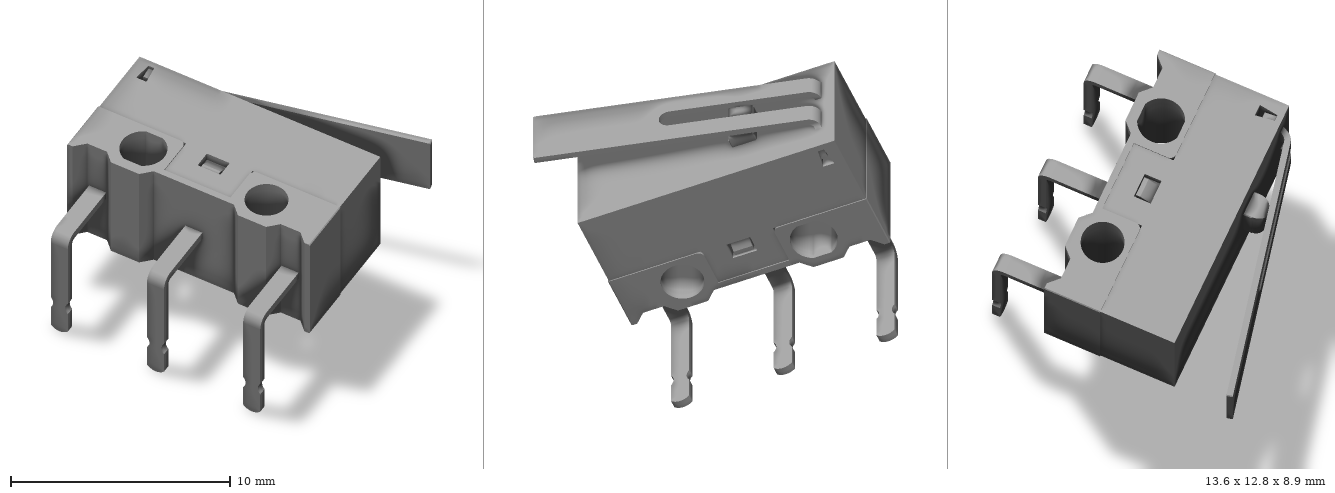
import cadquery as cq
import math


base_length = 12.8
base_thickness = 5.8
base_depth = 2.8
base_edge_chamfer = 0.048
cover_length = 12.7
cover_thickness = 5.7
cover_top = 6.5

notch_x = 5.1
notch_depth = 0.49
notch_half = 0.52
middle_notch_half = 2.11

hole_x = 3.25
hole_y = 1.5
hole_diameter = 2.0
wide_hole_diameter = 2.2

tongue_half = 1.75
tongue_end = 0.8
tongue_thickness = 0.4
pocket_corner_radius = 0.3
window_half = 0.6
window_bottom = 1.87
window_top = 2.71
latch_half = 0.46
latch_bottom = 1.91
latch_ridge = 2.13
latch_top = 2.67
latch_height = 0.3

terminal_pitch = 5.07
terminal_root = notch_depth
terminal_width = 0.9
terminal_thickness = 0.4
terminal_reach = 3.0
terminal_drop = 6.0
bend_radius = 0.2
tip_rise = 0.2
neck_z = -4.32
neck_radius = 0.5
neck_depth = 0.13

lever_thickness = 0.3
lever_half_width = 1.49
lever_angle = 12.3
lever_bend_radius = 0.34
foot_lean = 5.0
overall_length = 13.64
tip_x = overall_length - base_length / 2
tip_y = 9.8
foot_x = -5.72
foot_end = 5.6
flare_radius = 0.3
flare_start = 6.78
cross_bar_half = 2.71
cross_bar_top = 6.18
slot_half = 0.49
slot_end = 8.55
tip_chamfer = 0.048

opening_top = 6.2
opening_bottom = 5.28
opening_x = -5.55
opening_top_half = 0.15
opening_bottom_half = 0.27

plunger_x = -1.9
plunger_width = 1.23
plunger_span = 2.0
plunger_edge_chamfer = 0.048
dome_radius = 0.57
dome_end_radius = 0.5
dome_base = 6.92

cover_face = cover_thickness / 2
tongue_floor = cover_face - tongue_thickness


def block(x_min, x_max, y_min, y_max, z_min, z_max):
    """Box given by its limits."""
    size = (x_max - x_min, y_max - y_min, z_max - z_min)
    return cq.Workplane("XY").box(*size, centered=False).translate((x_min, y_min, z_min))


def nearest(point):
    """Selects the edge whose middle is nearest to a point."""
    return cq.selectors.NearestToPointSelector(point)


def both_sides(shape):
    """The shape together with its mirror image about Z = 0."""
    return shape.union(shape.mirror("XY"))


def make_notch(x, half):
    """Trapezoidal notch with 45 degree sides across the foot of the base."""
    foot_half = half + notch_depth
    outline = [(x - foot_half, 0), (x + foot_half, 0), (x + half, notch_depth), (x - half, notch_depth)]
    return cq.Workplane("XY").polyline(outline).close().extrude(base_thickness / 2, both=True)


def make_tongue_pocket():
    """Pocket for a tongue, its mouth widened by the rounded corners of the base beside it."""
    r = pocket_corner_radius
    mouth = tongue_half + r
    mid = r * (1 - math.sqrt(0.5))
    return (
        cq.Workplane("XY", origin=(0, 0, tongue_floor))
        .moveTo(-tongue_half, tongue_end)
        .lineTo(tongue_half, tongue_end)
        .lineTo(tongue_half, base_depth - r)
        .threePointArc((tongue_half + mid, base_depth - mid), (mouth, base_depth))
        .lineTo(-mouth, base_depth)
        .threePointArc((-tongue_half - mid, base_depth - mid), (-tongue_half, base_depth - r))
        .close()
        .extrude(base_thickness)
    )


def make_latch():
    """Ramped latch on the pocket floor, falling to the floor towards +Y."""
    z_top = tongue_floor + latch_height
    profile = [
        (latch_bottom, tongue_floor),
        (latch_bottom, z_top),
        (latch_ridge, z_top),
        (latch_top, tongue_floor),
    ]
    return cq.Workplane("YZ").polyline(profile).close().extrude(latch_half, both=True)


def make_holes():
    """Round hole on +X, and a wider hole with two flats on -X."""
    half = base_thickness / 2
    right = cq.Workplane("XY").center(hole_x, hole_y)
    left = cq.Workplane("XY").center(-hole_x, hole_y)
    round_hole = right.circle(hole_diameter / 2).extrude(half, both=True)
    wide_hole = left.circle(wide_hole_diameter / 2).extrude(half, both=True)
    flats = left.rect(wide_hole_diameter, hole_diameter).extrude(half, both=True)
    return round_hole.union(wide_hole.intersect(flats))


def make_base():
    half_x = base_length / 2
    half_z = base_thickness / 2
    base = block(-half_x, half_x, 0, base_depth, -half_z, half_z)
    base = base.edges("|Y").chamfer(base_edge_chamfer)
    base = base.cut(make_notch(0, middle_notch_half))
    for x in (-notch_x, notch_x):
        base = base.cut(make_notch(x, notch_half))
    base = base.cut(make_holes())
    base = base.cut(both_sides(make_tongue_pocket()))
    return base.union(both_sides(make_latch()))


def make_cover(lever):
    """Cover with two windowed tongues, and an opening and a slit that take the lever's foot."""
    half_x = cover_length / 2
    cover = block(-half_x, half_x, base_depth, cover_top, -cover_face, cover_face)
    tongue = block(-tongue_half, tongue_half, tongue_end, base_depth, tongue_floor, cover_face)
    window = block(-window_half, window_half, window_bottom, window_top, tongue_floor, cover_face)
    cover = cover.union(both_sides(tongue.cut(window)))
    opening = [
        (opening_x - opening_bottom_half, opening_bottom),
        (opening_x + opening_bottom_half, opening_bottom),
        (opening_x + opening_top_half, opening_top),
        (opening_x - opening_top_half, opening_top),
    ]
    cover = cover.cut(cq.Workplane("XY").polyline(opening).close().extrude(cover_face, both=True))
    return cover.cut(lever)


def make_terminal(x):
    """Flat strip that bends down, with a waisted leg and a rounded tip."""
    half_t = terminal_thickness / 2
    half_w = terminal_width / 2
    inner_y = terminal_thickness - terminal_reach
    profile = [
        (terminal_root, half_t),
        (-terminal_reach, half_t),
        (-terminal_reach, -terminal_drop),
        (inner_y, -terminal_drop),
        (inner_y, -half_t),
        (terminal_root, -half_t),
    ]
    strip = cq.Workplane("YZ").polyline(profile).close().extrude(half_w, both=True)
    strip = strip.edges(nearest((0, -terminal_reach, half_t))).fillet(bend_radius + terminal_thickness)
    strip = strip.edges(nearest((0, inner_y, -half_t))).fillet(bend_radius)

    tip = (
        cq.Workplane("XZ")
        .moveTo(-half_w, half_t)
        .lineTo(-half_w, tip_rise - terminal_drop)
        .threePointArc((0, -terminal_drop), (half_w, tip_rise - terminal_drop))
        .lineTo(half_w, half_t)
        .close()
        .extrude(terminal_reach + terminal_root, both=True)
    )
    strip = strip.intersect(tip)
    neck_x = half_w - neck_depth + neck_radius
    necks = cq.Workplane("XZ").pushPoints([(-neck_x, neck_z), (neck_x, neck_z)]).circle(neck_radius)
    return strip.cut(necks.extrude(terminal_reach)).translate((x, 0, 0))


def make_lever_strip():
    """Side profile of the lever, as wide as its cross bar."""
    arm = math.radians(lever_angle)
    lean = math.radians(foot_lean)
    tip_top = (tip_x - lever_thickness * math.sin(arm), tip_y)
    tip_bottom = (tip_x, tip_y - lever_thickness * math.cos(arm))

    def corner(foot_side, tip):
        """Where a side of the foot meets the matching side of the arm."""
        at_cover = tip[1] + (foot_side - tip[0]) * math.tan(arm)
        rise = (at_cover - cover_top) / (1 + math.tan(lean) * math.tan(arm))
        return (foot_side - rise * math.tan(lean), cover_top + rise)

    def foot_point(foot_side):
        return (foot_side + (cover_top - foot_end) * math.tan(lean), foot_end)

    inner_foot_x = foot_x + lever_thickness / math.cos(lean)
    outer = corner(foot_x, tip_top)
    inner = corner(inner_foot_x, tip_bottom)
    outline = [foot_point(foot_x), outer, tip_top, tip_bottom, inner, foot_point(inner_foot_x)]
    strip = cq.Workplane("XY").polyline(outline).close().extrude(cross_bar_half, both=True)
    strip = strip.edges(nearest((*outer, 0))).fillet(lever_bend_radius + lever_thickness)
    return strip.edges(nearest((*inner, 0))).fillet(lever_bend_radius)


def make_lever_side_cut():
    """Space beside the lever above its cross bar, on the +Z side."""
    r = flare_radius
    neck_half = lever_half_width + r
    flare_end = flare_start - r
    mid = r * math.sqrt(0.5)
    return (
        cq.Workplane("YZ", origin=(-base_length / 2, 0, 0))
        .moveTo(tip_y, lever_half_width)
        .lineTo(flare_start, lever_half_width)
        .threePointArc((flare_start - mid, neck_half - mid), (flare_end, neck_half))
        .lineTo(cross_bar_top, neck_half)
        .lineTo(cross_bar_top, cross_bar_half)
        .lineTo(tip_y, cross_bar_half)
        .close()
        .extrude(tip_x + base_length / 2)
    )


def make_lever_slot():
    """Slot along the arm and down through the bend, with a round end square to the arm."""
    arm = math.radians(lever_angle)
    end_x = tip_x - lever_thickness * math.sin(arm) - (tip_y - slot_end) / math.tan(arm)
    length = (end_x - foot_x) / math.cos(arm)
    arm_slot = (
        cq.Workplane("XZ")
        .moveTo(-length, -slot_half)
        .lineTo(-slot_half, -slot_half)
        .threePointArc((0, 0), (-slot_half, slot_half))
        .lineTo(-length, slot_half)
        .close()
        .extrude(2 * lever_thickness, both=True)
    )
    arm_slot = arm_slot.rotate((0, 0, 0), (0, 0, 1), lever_angle).translate((end_x, slot_end, 0))
    bend_slot = block(foot_x - lever_thickness, plunger_x, cover_top, slot_end, -slot_half, slot_half)
    return arm_slot.union(bend_slot)


def make_lever():
    lever = make_lever_strip().cut(both_sides(make_lever_side_cut()))
    for z in (-lever_half_width, lever_half_width):
        tip_corner = nearest((tip_x, tip_y - lever_thickness / 2, z))
        lever = lever.edges(tip_corner).chamfer(tip_chamfer)
    return lever.cut(make_lever_slot())


def make_plunger():
    """Rectangular stem with a dome that is round across X and rounded off at both Z ends."""
    half_x = plunger_width / 2
    half_z = plunger_span / 2
    stem = block(plunger_x - half_x, plunger_x + half_x, cover_top, dome_base, -half_z, half_z)
    stem = stem.edges("|Y").chamfer(plunger_edge_chamfer)
    dome = cq.Workplane("XY", origin=(plunger_x, dome_base, -half_z)).circle(dome_radius).extrude(plunger_span)
    dome_top = dome_base + dome_radius
    envelope = block(plunger_x - half_x, plunger_x + half_x, dome_base, dome_top, -half_z, half_z)
    envelope = envelope.edges("|X and >Y").fillet(dome_end_radius)
    return stem.union(dome.intersect(envelope))


lever = make_lever()
cover = make_cover(lever)
base = make_base()
plunger = make_plunger()
terminals = [make_terminal(x) for x in (-terminal_pitch, 0, terminal_pitch)]

result = cq.Compound.makeCompound(
    [base.val(), cover.val(), lever.val(), plunger.val(), *[terminal.val() for terminal in terminals]]
)